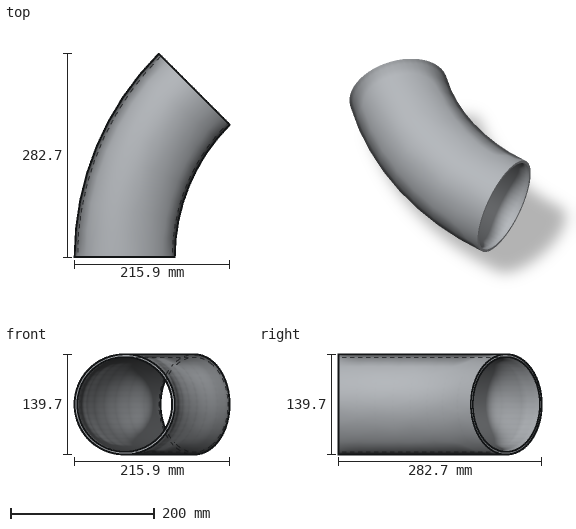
import cadquery as cq
import math

overall_length = 282.7
outer_diameter = 139.7
wall_thickness = 4.0
bend_angle = 45.0

outer_radius = outer_diameter / 2
inner_radius = outer_radius - wall_thickness

bend_radius = overall_length / math.sin(math.radians(bend_angle)) - outer_radius


def bent_pipe():
    """Sweep the pipe ring around a Z-parallel axis, from the -Y end toward +X."""
    ring = cq.Workplane("XZ").circle(outer_radius).circle(inner_radius)
    axis_start = (bend_radius, 0)
    axis_end = (bend_radius, -1)
    return ring.revolve(bend_angle, axis_start, axis_end)


result = bent_pipe()